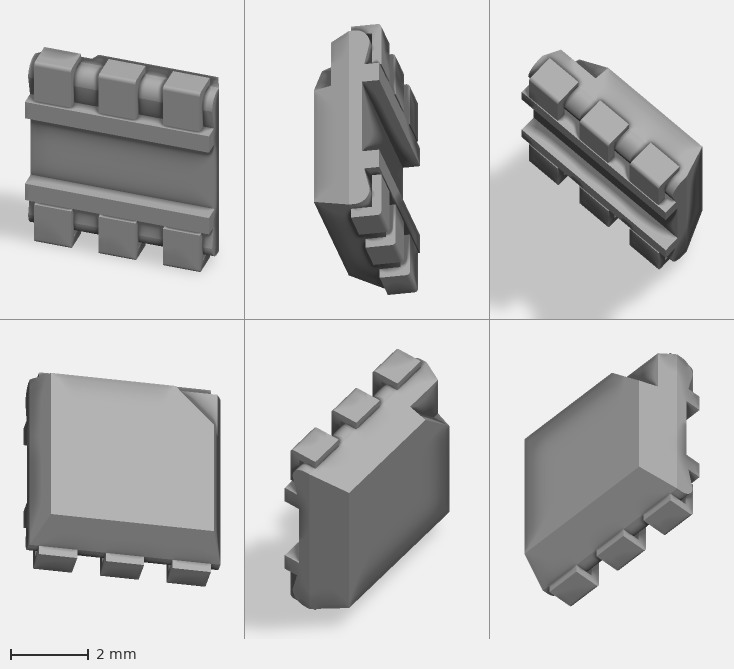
import cadquery as cq
import math

total_height = 5.5
total_depth = 1.8
body_side = 5.0
half_side = body_side / 2

cover_depth = 1.0
cover_draft = 20.0
back_half_side = half_side - cover_depth * math.tan(math.radians(cover_draft))

base_depth = total_depth - cover_depth
plate_depth = 0.34
rail_inner_z = 1.0
rail_outer_z = 1.5
rail_root_depth = 0.4
end_flat_depth = 0.15

notch_depth = 0.495
notch_x = -1.12
notch_z = 1.07

lead_thickness = (total_height - body_side) / 2
lead_width = 1.0
lead_pitch = 1.75
lead_length = 1.16
lead_bend_radius = 0.1
lead_inner_depth = base_depth - lead_thickness

nose_radius = lead_inner_depth - end_flat_depth
nose_z = half_side - nose_radius


def make_cover():
    """Square block tapering towards the back."""
    return cq.Workplane("XZ").rect(body_side, body_side).extrude(-cover_depth, taper=cover_draft)


def make_half_base():
    """Upper half of the base profile, extruded across the full width."""
    arc_offset = nose_radius * math.sqrt(0.5)
    return (
        cq.Workplane("YZ")
        .moveTo(0, 0)
        .lineTo(0, half_side)
        .lineTo(-end_flat_depth, half_side)
        .threePointArc(
            (-end_flat_depth - arc_offset, nose_z + arc_offset),
            (-lead_inner_depth, nose_z),
        )
        .lineTo(-rail_root_depth, rail_outer_z)
        .lineTo(-base_depth, rail_outer_z)
        .lineTo(-base_depth, rail_inner_z)
        .lineTo(-plate_depth, rail_inner_z)
        .lineTo(-plate_depth, 0)
        .close()
        .extrude(half_side, both=True)
    )


def make_notch():
    """Corner cutter: a diagonal face with short square walls beyond the back face's edges."""
    return (
        cq.Workplane("XZ", origin=(0, cover_depth, 0))
        .polyline([
            (notch_x, back_half_side),
            (notch_x, half_side),
            (-half_side, half_side),
            (-half_side, notch_z),
            (-back_half_side, notch_z),
        ])
        .close()
        .extrude(notch_depth)
    )


def make_body():
    """Cover and base moulded as one solid, with the corner notch removed."""
    upper_base = make_half_base()
    lower_base = upper_base.mirror("XY")
    return make_cover().union(upper_base).union(lower_base).cut(make_notch())


def make_lead(x_center):
    """L-shaped lead over the upper end of the body, rounded at its outer bend."""
    outer_z = total_height / 2
    tip_z = outer_z - lead_length
    return (
        cq.Workplane("YZ", origin=(x_center, 0, 0))
        .polyline([
            (0, half_side),
            (0, outer_z),
            (-base_depth, outer_z),
            (-base_depth, tip_z),
            (-lead_inner_depth, tip_z),
            (-lead_inner_depth, half_side),
        ])
        .close()
        .extrude(lead_width / 2, both=True)
        .edges("|X and >Z and <Y")
        .fillet(lead_bend_radius)
    )


body = make_body()

leads = []
for column in (-1, 0, 1):
    upper_lead = make_lead(column * lead_pitch)
    leads.append(upper_lead.solids().val())
    leads.append(upper_lead.mirror("XY").solids().val())

result = cq.Compound.makeCompound([body.solids().val(), *leads])